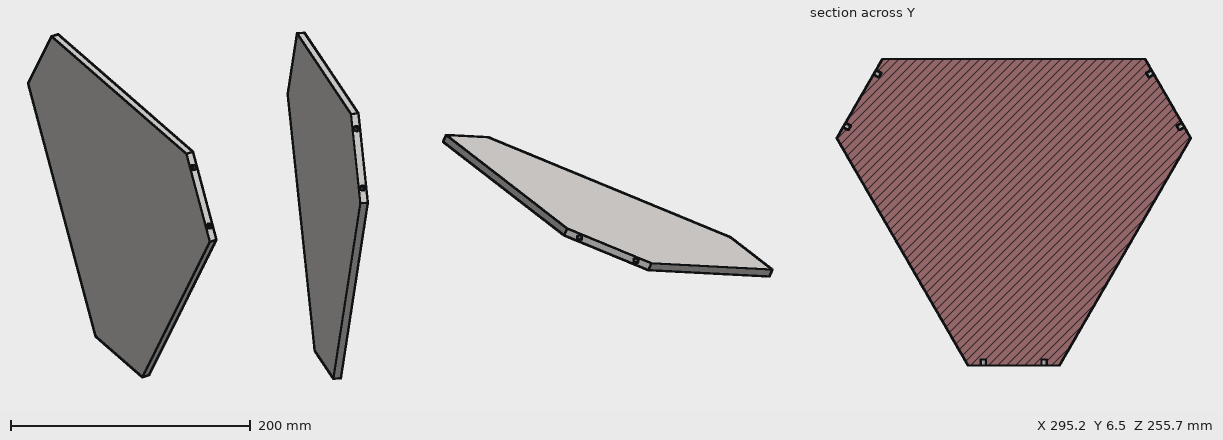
import cadquery as cq
import math

overall_width = 295.2
short_side = 76.2
long_side = overall_width - short_side
thickness = 6.5
height = overall_width * math.sin(math.radians(60))
shoulder_drop = short_side * math.sin(math.radians(60))

hole_diameter = 4.0
hole_depth = 5.0
hole_spacing = 50.8

top_z = (long_side + 2 * short_side) / (2 * math.sqrt(3))
bottom_z = top_z - height
shoulder_z = top_z - shoulder_drop


def make_plate():
    right_half = [
        (short_side / 2, bottom_z),
        (overall_width / 2, shoulder_z),
        (long_side / 2, top_z),
    ]
    left_half = [(-x, z) for x, z in reversed(right_half)]
    outline = right_half + left_half
    return cq.Workplane("XZ").polyline(outline).close().extrude(thickness / 2, both=True)


def make_bottom_holes():
    return (
        cq.Workplane("XY", origin=(0, 0, bottom_z))
        .pushPoints([(-hole_spacing / 2, 0), (hole_spacing / 2, 0)])
        .circle(hole_diameter / 2)
        .extrude(hole_depth)
    )


result = make_plate()
for angle in (0, 120, 240):
    result = result.cut(make_bottom_holes().rotate((0, 0, 0), (0, 1, 0), angle))